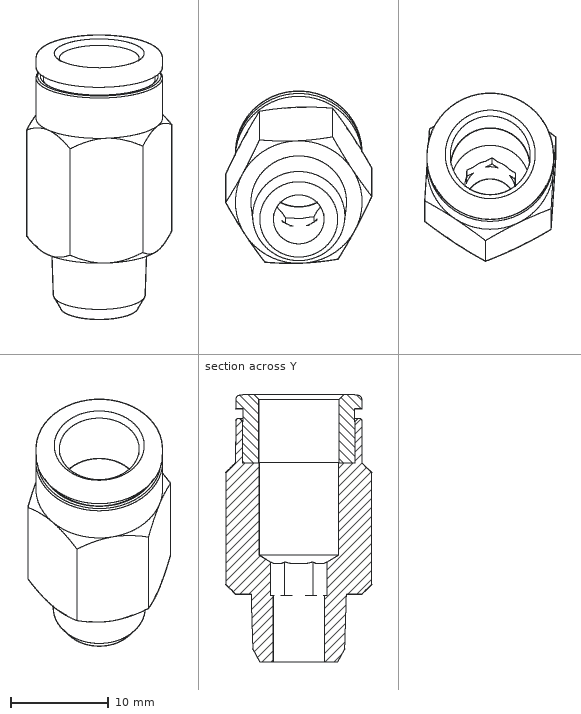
import cadquery as cq
import math

total_height = 27.5
tip_chamfer_top = 1.35
hex_bottom = 6.95
hex_top = 20.5
housing_top = 25.02
flange_bottom = 26.02

across_flats = 13.0
across_corners = across_flats / math.cos(math.radians(30))
barrel_radius = across_flats / 2
rim_chamfer = 0.16
recess_chamfer = 0.3
tip_radius = 8.0 / 2
stem_top_radius = 9.82 / 2
stem_taper = 1 / 16
stem_bottom_radius = stem_top_radius - stem_taper * (hex_bottom - tip_chamfer_top) / 2

tube_bore_radius = 8.1 / 2
tube_bore_bottom = 11.0
through_radius = 5.2 / 2
cone_half_angle = 59.0
cone_height = (tube_bore_radius - through_radius) / math.tan(math.radians(cone_half_angle))
key_across_flats = 5.0
key_across_corners = key_across_flats / math.cos(math.radians(30))
key_socket_depth = 4.12

neck_radius = 11.5 / 2
collar_bottom = hex_top
collar_bore_radius = 8.2 / 2
mouth_chamfer = 0.52
top_flat_radius = 11.22 / 2
top_slope_angle = math.radians(8)
edge_round = 0.48


def revolve_about_z(profile):
    """Revolve a closed (radius, height) profile a full turn about Z."""
    return profile.close().revolve(360, (0, 0, 0), (0, 1, 0))


def make_hex_nut():
    """Hexagon with corners on X and 45 degree chamfers at both ends."""
    height = hex_top - hex_bottom
    prism = cq.Workplane("XY").workplane(offset=hex_bottom).polygon(6, across_corners).extrude(height)
    corner_radius = across_corners / 2
    corner_chamfer = corner_radius - barrel_radius
    envelope = (
        cq.Workplane("XY").workplane(offset=hex_bottom)
        .circle(corner_radius).extrude(height)
        .faces("<Z or >Z").chamfer(corner_chamfer)
    )
    return prism.intersect(envelope)


def make_stem():
    """Tapered thread stem with a conical tip."""
    return revolve_about_z(
        cq.Workplane("XZ")
        .moveTo(0, 0)
        .lineTo(tip_radius, 0)
        .lineTo(stem_bottom_radius, tip_chamfer_top)
        .lineTo(stem_top_radius, hex_bottom)
        .lineTo(0, hex_bottom)
    )


def make_barrel():
    """Round upper part of the housing with a small rim chamfer."""
    return (
        cq.Workplane("XY").workplane(offset=hex_top)
        .circle(barrel_radius).extrude(housing_top - hex_top)
        .faces(">Z").chamfer(rim_chamfer)
    )


def make_passage():
    """Collar recess, tube bore, conical floor and through hole as one cutter."""
    return revolve_about_z(
        cq.Workplane("XZ")
        .moveTo(0, 0)
        .lineTo(through_radius, 0)
        .lineTo(through_radius, tube_bore_bottom - cone_height)
        .lineTo(tube_bore_radius, tube_bore_bottom)
        .lineTo(tube_bore_radius, collar_bottom)
        .lineTo(neck_radius, collar_bottom)
        .lineTo(neck_radius, housing_top - recess_chamfer)
        .lineTo(neck_radius + recess_chamfer, housing_top)
        .lineTo(0, housing_top)
    )


def make_key_socket():
    """Blind hexagon socket below the tube bore, with corners on X."""
    return (
        cq.Workplane("XY").workplane(offset=tube_bore_bottom)
        .polygon(6, key_across_corners).extrude(-key_socket_depth)
    )


def make_housing():
    outside = make_hex_nut().union(make_stem()).union(make_barrel())
    return outside.cut(make_passage()).cut(make_key_socket())


def make_release_collar():
    """Sleeve with a flange whose top slopes gently into a rounded edge."""
    round_center_radius = barrel_radius - edge_round
    slope_end_radius = round_center_radius + edge_round * math.sin(top_slope_angle)
    slope_end_height = total_height - (slope_end_radius - top_flat_radius) * math.tan(top_slope_angle)
    round_center_height = slope_end_height - edge_round * math.cos(top_slope_angle)
    middle_angle = (math.pi / 2 - top_slope_angle) / 2
    round_middle = (
        round_center_radius + edge_round * math.cos(middle_angle),
        round_center_height + edge_round * math.sin(middle_angle),
    )
    return revolve_about_z(
        cq.Workplane("XZ")
        .moveTo(collar_bore_radius, collar_bottom)
        .lineTo(neck_radius, collar_bottom)
        .lineTo(neck_radius, flange_bottom)
        .lineTo(barrel_radius, flange_bottom)
        .lineTo(barrel_radius, round_center_height)
        .threePointArc(round_middle, (slope_end_radius, slope_end_height))
        .lineTo(top_flat_radius, total_height)
        .lineTo(collar_bore_radius + mouth_chamfer, total_height)
        .lineTo(collar_bore_radius, total_height - mouth_chamfer)
    )


housing = make_housing()
release_collar = make_release_collar()
result = cq.Compound.makeCompound([housing.solids().val(), release_collar.solids().val()])